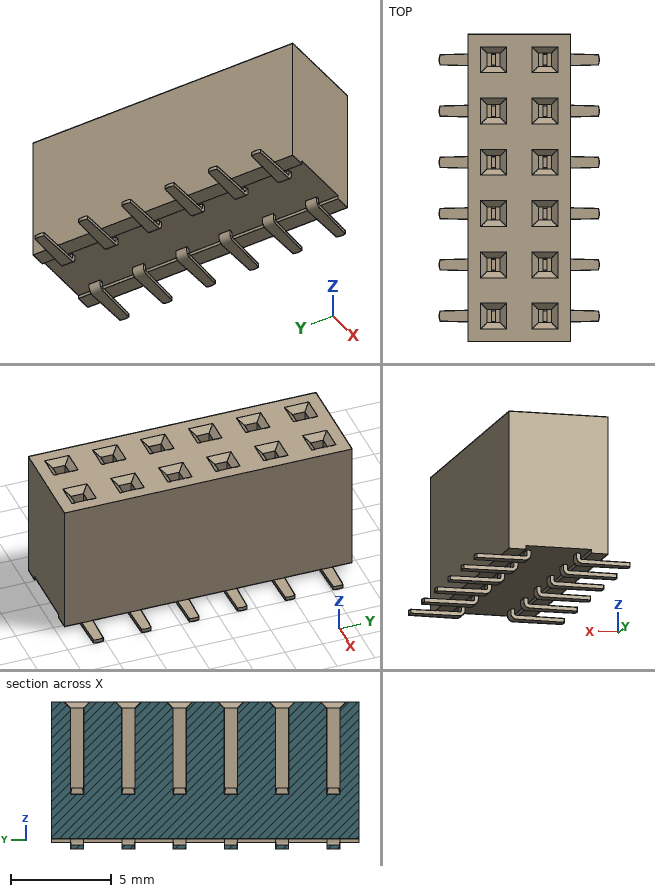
import cadquery as cq

row_count = 6
body_length = 15.24
pitch = body_length / row_count
column_x = pitch / 2
rows_y = [(row - (row_count - 1) / 2) * pitch for row in range(row_count)]
sides = (-1, 1)

body_width = 2 * pitch
overall_height = 7.3
body_bottom = 0.32
channel_roof = 0.5
channel_width = 3.35

mouth_size = 1.28
socket_size = 0.65
funnel_depth = (mouth_size - socket_size) / 2
socket_depth = 4.57
socket_floor = overall_height - socket_depth

overall_width = 7.94
sheet_thickness = 0.2
contact_width = 0.64
contact_end_width = 0.52
tip_bulge = 0.05
bend_inner_radius = 0.09
bend_outer_radius = bend_inner_radius + sheet_thickness
blade_height = 0.3


def box_between(x_size, y_size, z_low, z_high):
    """Box centred on the Z axis between two heights."""
    return (
        cq.Workplane("XY")
        .workplane(offset=z_low)
        .rect(x_size, y_size)
        .extrude(z_high - z_low)
    )


def make_housing():
    """Rectangular block with a shallow channel along its underside."""
    block = box_between(body_width, body_length, body_bottom, overall_height)
    channel = box_between(channel_width, body_length, body_bottom, channel_roof)
    return block.cut(channel)


def make_socket():
    """Square blind hole with a pyramidal lead-in at its mouth."""
    hole = box_between(socket_size, socket_size, socket_floor, overall_height)
    funnel = (
        cq.Workplane("XY")
        .workplane(offset=overall_height - funnel_depth)
        .rect(socket_size, socket_size)
        .workplane(offset=funnel_depth)
        .rect(mouth_size, mouth_size)
        .loft()
    )
    return hole.union(funnel)


def make_contact():
    """Bent strip on the +X side: a stem through the housing floor and a tapered foot."""
    stem_inner_x = column_x - sheet_thickness / 2
    stem_outer_x = column_x + sheet_thickness / 2
    bend_center_x = stem_outer_x + bend_inner_radius
    tip_x = overall_width / 2
    tip_corner_x = tip_x - tip_bulge

    strip = (
        cq.Workplane("XZ")
        .moveTo(stem_inner_x, socket_floor)
        .lineTo(stem_inner_x, bend_outer_radius)
        .radiusArc((bend_center_x, 0), -bend_outer_radius)
        .lineTo(tip_x, 0)
        .lineTo(tip_x, sheet_thickness)
        .lineTo(bend_center_x, sheet_thickness)
        .radiusArc((stem_outer_x, bend_outer_radius), bend_inner_radius)
        .lineTo(stem_outer_x, socket_floor)
        .close()
        .extrude(contact_width / 2, both=True)
    )
    plan = (
        cq.Workplane("XY")
        .moveTo(stem_inner_x, -contact_width / 2)
        .lineTo(bend_center_x, -contact_width / 2)
        .lineTo(tip_corner_x, -contact_end_width / 2)
        .threePointArc((tip_x, 0), (tip_corner_x, contact_end_width / 2))
        .lineTo(bend_center_x, contact_width / 2)
        .lineTo(stem_inner_x, contact_width / 2)
        .close()
        .extrude(socket_floor)
    )
    blade = (
        cq.Workplane("YZ")
        .moveTo(-contact_width / 2, socket_floor)
        .lineTo(contact_width / 2, socket_floor)
        .lineTo(contact_end_width / 2, socket_floor + blade_height)
        .lineTo(-contact_end_width / 2, socket_floor + blade_height)
        .close()
        .extrude(sheet_thickness)
        .translate((stem_inner_x, 0, 0))
    )
    return strip.intersect(plan).union(blade)


housing = make_housing()
socket = make_socket()
right_contact = make_contact()

result = housing
for side in sides:
    contact = right_contact if side > 0 else right_contact.mirror("YZ")
    for row_y in rows_y:
        result = result.cut(socket.translate((side * column_x, row_y, 0)))
        result = result.union(contact.translate((0, row_y, 0)))